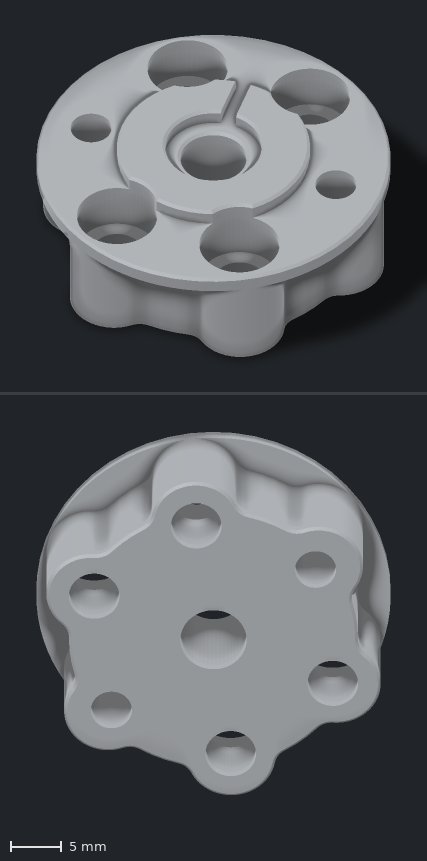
import cadquery as cq

flange_diameter = 34.92
total_height = 12.7
flange_thickness = 1.57
boss_height = 1.57
edge_chamfer = 0.28

flange_top = total_height - boss_height
body_height = flange_top - flange_thickness

lobe_count = 6
lobe_radius = 4.35
lobe_circle_radius = flange_diameter / 2 - lobe_radius
core_radius = 14.25
valley_fillet = 2.0

boss_diameter = 19.03
recess_diameter = 9.5
slot_width = 1.6
bore_diameter = 6.53

hole_circle_radius = 12.7
screw_hole_diameter = 5.0
counterbore_diameter = 7.93
counterbore_depth = 4.9
pin_hole_diameter = 4.05
pin_angles = [0, 180]
screw_angles = [60, 120, 240, 300]


def cylinder(diameter, bottom, top):
    """A cylinder on the Z axis between two heights."""
    return cq.Workplane("XY").workplane(offset=bottom).circle(diameter / 2).extrude(top - bottom)


def cut_around_axis(part, tool, angles):
    """Cut a tool from a part at each angle on the hole circle."""
    tool = tool.translate((hole_circle_radius, 0, 0))
    for angle in angles:
        part = part.cut(tool.rotate((0, 0, 0), (0, 0, 1), angle))
    return part


def make_body():
    """A round core with rounded lobes, blended in the valleys and chamfered underneath."""
    body = cylinder(2 * core_radius, 0, body_height)
    lobes = cq.Workplane("XY").polarArray(lobe_circle_radius, 0, 360, lobe_count)
    body = body.union(lobes.circle(lobe_radius).extrude(body_height))
    body = body.edges("|Z").fillet(valley_fillet)
    return body.faces("<Z").chamfer(edge_chamfer)


def make_base():
    """The body under its flange, with the center bore; both top rims are chamfered."""
    base = make_body().union(cylinder(flange_diameter, body_height, flange_top))
    base = base.cut(cylinder(bore_diameter, 0, flange_top))
    return base.faces(">Z").chamfer(edge_chamfer)


def make_boss():
    """A ring notched by the counterbores, chamfered on top and split by a slot toward +Y."""
    boss = cylinder(boss_diameter, flange_top, total_height)
    boss = boss.cut(cylinder(recess_diameter, flange_top, total_height))
    notch = cylinder(counterbore_diameter, flange_top, total_height)
    boss = cut_around_axis(boss, notch, screw_angles)
    boss = boss.faces(">Z").chamfer(edge_chamfer)
    slot = cq.Workplane("XY").box(slot_width, boss_diameter, boss_height, centered=(True, False, False))
    return boss.cut(slot.translate((0, 0, flange_top)))


def cut_holes(part):
    """The counterbored screw holes and the plain pin holes."""
    screw_hole = cylinder(screw_hole_diameter, 0, flange_top)
    counterbore = cylinder(counterbore_diameter, flange_top - counterbore_depth, flange_top)
    part = cut_around_axis(part, screw_hole.union(counterbore), screw_angles)
    pin_hole = cylinder(pin_hole_diameter, 0, flange_top)
    return cut_around_axis(part, pin_hole, pin_angles)


result = cut_holes(make_base()).union(make_boss())